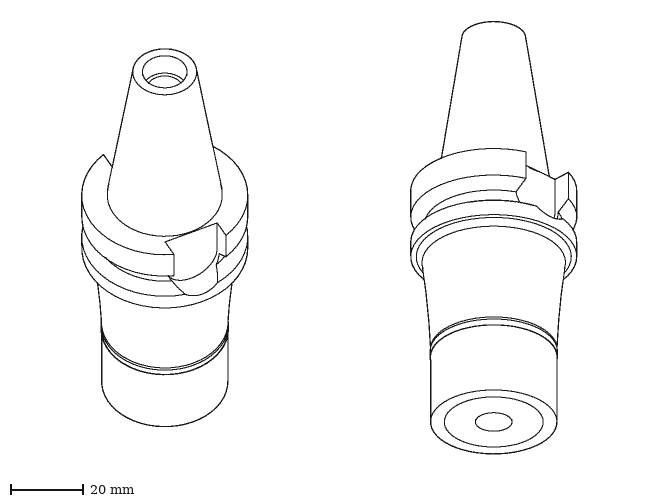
import cadquery as cq

TOTAL_HEIGHT = 123.4

TAPER_RATIO = 7 / 24
GAUGE_RADIUS = 15.9
GAUGE_Z = 75.0
TAPER_TOP_RADIUS = GAUGE_RADIUS - (TOTAL_HEIGHT - GAUGE_Z) * TAPER_RATIO / 2

FLANGE_DIAMETER = 46.0
FLANGE_RADIUS = FLANGE_DIAMETER / 2
FLANGE_TOP_Z = 74.3
UPPER_RIM_BOTTOM_Z = 65.8
GROOVE_RADIUS = 19.3
GROOVE_TOP_Z = 63.2
GROOVE_BOTTOM_Z = 59.8
LOWER_RIM_TOP_Z = 57.8
FLANGE_BOTTOM_Z = 53.1

FLANGE_CONE_TOP_RADIUS = 21.5
FLANGE_CONE_BOTTOM_Z = 51.2

NOSE_TOP_RADIUS = 19.9
NOSE_MID_RADIUS = 18.4
NOSE_BOTTOM_RADIUS = 17.5
NOSE_BOTTOM_Z = 23.5
NOSE_MID_Z = (FLANGE_CONE_BOTTOM_Z + NOSE_BOTTOM_Z) / 2
NECK_RADIUS = 13.7

BORE_RADIUS = 5.0
ENTRY_RADIUS = 6.2
ENTRY_DEPTH = 6.9

SLOT_WIDTH = 16.2
SLOT_DEPTH = 18.3
SLOT_FLOOR_X = 16.2

RING_RADIUS = 17.6
RING_TOP_Z = 22.7
NUT_RADIUS = 17.5
NUT_TOP_Z = 20.9


def turned_holder():
    """Holder turned about Z: shank, flange, nose and neck."""
    return (
        cq.Workplane("XZ")
        .moveTo(0, 0)
        .lineTo(NECK_RADIUS, 0)
        .lineTo(NECK_RADIUS, NOSE_BOTTOM_Z)
        .lineTo(NOSE_BOTTOM_RADIUS, NOSE_BOTTOM_Z)
        .threePointArc((NOSE_MID_RADIUS, NOSE_MID_Z), (NOSE_TOP_RADIUS, FLANGE_CONE_BOTTOM_Z))
        .lineTo(FLANGE_CONE_TOP_RADIUS, FLANGE_BOTTOM_Z)
        .lineTo(FLANGE_RADIUS, FLANGE_BOTTOM_Z)
        .lineTo(FLANGE_RADIUS, LOWER_RIM_TOP_Z)
        .lineTo(GROOVE_RADIUS, GROOVE_BOTTOM_Z)
        .lineTo(GROOVE_RADIUS, GROOVE_TOP_Z)
        .lineTo(FLANGE_RADIUS, UPPER_RIM_BOTTOM_Z)
        .lineTo(FLANGE_RADIUS, FLANGE_TOP_Z)
        .lineTo(GAUGE_RADIUS, FLANGE_TOP_Z)
        .lineTo(GAUGE_RADIUS, GAUGE_Z)
        .lineTo(TAPER_TOP_RADIUS, TOTAL_HEIGHT)
        .lineTo(0, TOTAL_HEIGHT)
        .close()
        .revolve(360, (0, 0, 0), (0, 1, 0))
    )


def axial_bore():
    """Through bore and its wider entry at the top of the shank."""
    bore = cq.Workplane("XY").circle(BORE_RADIUS).extrude(TOTAL_HEIGHT)
    entry = (
        cq.Workplane("XY", origin=(0, 0, TOTAL_HEIGHT - ENTRY_DEPTH))
        .circle(ENTRY_RADIUS)
        .extrude(ENTRY_DEPTH)
    )
    return bore.union(entry)


def drive_slot(side):
    """Cutter for the drive slot on the +X (side = 1) or -X (side = -1) rim."""
    half_width = SLOT_WIDTH / 2
    slot_bottom_z = FLANGE_TOP_Z - SLOT_DEPTH
    arc_center_z = slot_bottom_z + half_width
    return (
        cq.Workplane("YZ", origin=(side * SLOT_FLOOR_X, 0, 0))
        .moveTo(half_width, FLANGE_TOP_Z)
        .lineTo(half_width, arc_center_z)
        .threePointArc((0, slot_bottom_z), (-half_width, arc_center_z))
        .lineTo(-half_width, FLANGE_TOP_Z)
        .close()
        .extrude(side * (FLANGE_RADIUS - SLOT_FLOOR_X))
    )


def make_holder():
    holder = turned_holder().cut(axial_bore())
    for side in (-1, 1):
        holder = holder.cut(drive_slot(side))
    return holder


def make_sleeve(outer_radius, bottom_z, top_z):
    """Plain sleeve that fits on the neck of the holder."""
    return (
        cq.Workplane("XY", origin=(0, 0, bottom_z))
        .circle(outer_radius)
        .circle(NECK_RADIUS)
        .extrude(top_z - bottom_z)
    )


holder = make_holder()
retaining_ring = make_sleeve(RING_RADIUS, NUT_TOP_Z, RING_TOP_Z)
nut = make_sleeve(NUT_RADIUS, 0, NUT_TOP_Z)

result = cq.Compound.makeCompound([holder.val(), retaining_ring.val(), nut.val()])